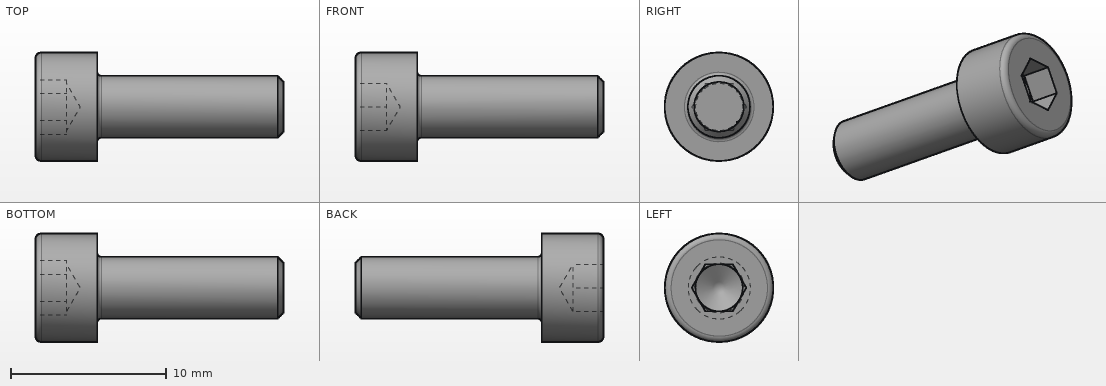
import cadquery as cq
import math

total_length = 16.0
head_diameter = 7.0
head_length = 4.0
head_edge_radius = 0.4
shank_diameter = 4.0
tip_chamfer = 0.4
neck_fillet_radius = 0.24
socket_across_flats = 3.04
socket_depth = 2.0
socket_cone_angle = 120.0

head_radius = head_diameter / 2
shank_radius = shank_diameter / 2
socket_radius = socket_across_flats / 2
socket_across_corners = socket_across_flats / math.cos(math.radians(30))


def make_body():
    """Head and shank, revolved from one half profile about the X axis."""
    arc_offset = head_edge_radius * (1 - math.sqrt(0.5))
    neck_offset = neck_fillet_radius * (1 - math.sqrt(0.5))
    profile = (
        cq.Workplane("XY")
        .lineTo(0, head_radius - head_edge_radius)
        .threePointArc(
            (arc_offset, head_radius - arc_offset),
            (head_edge_radius, head_radius),
        )
        .lineTo(head_length, head_radius)
        .lineTo(head_length, shank_radius + neck_fillet_radius)
        .threePointArc(
            (head_length + neck_offset, shank_radius + neck_offset),
            (head_length + neck_fillet_radius, shank_radius),
        )
        .lineTo(total_length - tip_chamfer, shank_radius)
        .lineTo(total_length, shank_radius - tip_chamfer)
        .lineTo(total_length, 0)
        .close()
    )
    return profile.revolve(360, (0, 0, 0), (1, 0, 0))


def make_socket():
    """Hexagonal recess with two corners along Y and a conical bottom."""
    hexagon = (
        cq.Workplane("YZ")
        .polygon(6, socket_across_corners)
        .extrude(socket_depth)
    )
    cone_depth = socket_radius / math.tan(math.radians(socket_cone_angle / 2))
    cone = (
        cq.Workplane("XY")
        .moveTo(socket_depth, 0)
        .lineTo(socket_depth, socket_radius)
        .lineTo(socket_depth + cone_depth, 0)
        .close()
        .revolve(360, (0, 0, 0), (1, 0, 0))
    )
    return hexagon.union(cone)


result = make_body().cut(make_socket())